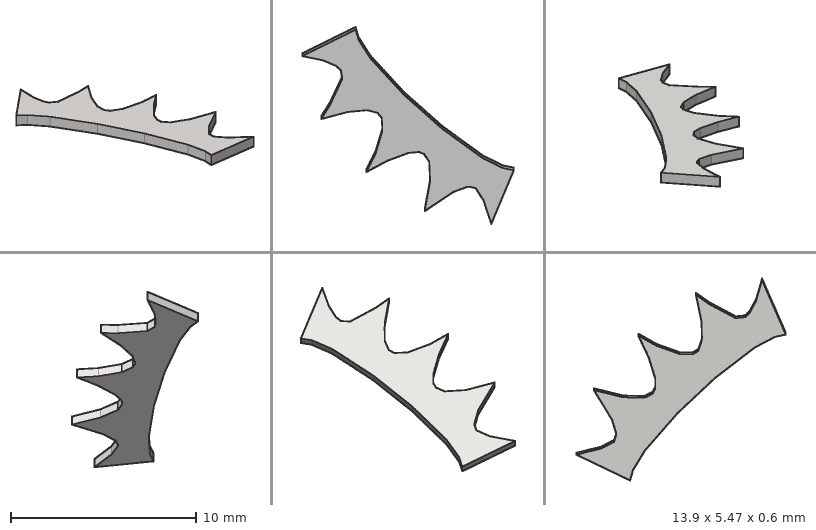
import cadquery as cq


width = 13.87
height = 5.47
thickness = 0.6
front_corner_span = 11.61
outer_spike_y = 3.04
inner_spike_x = 3.8
inner_spike_y = 4.94

left_outer_tip = (-width / 2, outer_spike_y)
left_inner_tip = (-inner_spike_x, inner_spike_y)
middle_tip = (0, height)
right_inner_tip = (inner_spike_x, inner_spike_y)
right_outer_tip = (width / 2, outer_spike_y)

left_outer_valley = [(-5.93, 2.45), (-5.22, 2.21), (-4.87, 2.21), (-4.47, 2.52), (-3.97, 4.06)]
left_inner_valley = [(-3.01, 3.68), (-2.30, 2.89), (-1.78, 2.62), (-1.44, 2.68), (-0.92, 3.18), (-0.33, 4.37)]
right_inner_valley = [(0.42, 4.22), (0.96, 3.14), (1.34, 2.72), (1.63, 2.62), (2.11, 2.75), (2.92, 3.56)]
right_outer_valley = [(4.22, 3.10), (4.60, 2.35), (4.95, 2.14), (5.72, 2.35)]

half_arch = [(front_corner_span / 2, 0), (5.29, 0.31), (4.11, 0.64), (1.40, 0.91)]


def mirror_in_x(points):
    """Mirror points across X = 0 and reverse them, so the outline keeps its direction."""
    return [(-x, y) for x, y in reversed(points)]


def crown_outline():
    """Corners of the closed outline, clockwise from the left outer tip."""
    spiked_edge = [
        left_outer_tip,
        *left_outer_valley,
        left_inner_tip,
        *left_inner_valley,
        middle_tip,
        *right_inner_valley,
        right_inner_tip,
        *right_outer_valley,
        right_outer_tip,
    ]
    arched_edge = half_arch + mirror_in_x(half_arch)
    return spiked_edge + arched_edge


result = cq.Workplane("XY").polyline(crown_outline()).close().extrude(thickness)